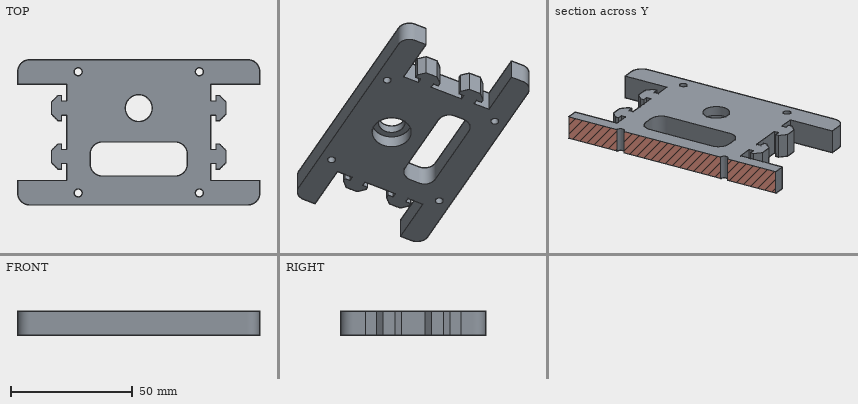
import cadquery as cq

thickness = 10.0
rail_length = 100.0
frame_width = 60.0
rail_corner_radius = 5.0

plate_length = 59.6
plate_width = 39.6
rail_width = (frame_width - plate_width) / 2

screw_diameter = 3.2
screw_spacing_x = 50.0
screw_spacing_y = 50.0

bore_diameter = 11.0
recess_diameter = 16.1
bore_depth = 4.0
recess_depth = thickness - bore_depth
bore_center_y = 10.0

window_length = 40.0
window_width = 14.0
window_corner_radius = 5.0
window_center_y = -11.0

key_center_y = 10.0
neck_length = 2.0
neck_half_width = 2.95
head_length = 4.2
head_half_width = 5.25
head_chamfer = 2.7


def make_rail(side):
    """Rail along X on the +Y (side = 1) or -Y (side = -1) edge, rounded at its outer corners."""
    center_y = side * (frame_width - rail_width) / 2
    rail = cq.Workplane("XY").box(rail_length, rail_width, thickness, centered=(True, True, False))
    outer_face = ">Y" if side > 0 else "<Y"
    return rail.faces(outer_face).edges("|Z").fillet(rail_corner_radius).translate((0, center_y, 0))


def make_plate():
    """Flat plate joining the two rails."""
    return cq.Workplane("XY").box(plate_length, plate_width, thickness, centered=(True, True, False))


def make_key(side, center_y):
    """T-shaped key with a chamfered tip, standing out of the plate end on the given X side."""
    root_x = plate_length / 2
    shoulder_x = root_x + neck_length
    tip_x = shoulder_x + head_length
    upper_half = [
        (root_x, neck_half_width),
        (shoulder_x, neck_half_width),
        (shoulder_x, head_half_width),
        (tip_x - head_chamfer, head_half_width),
        (tip_x, head_half_width - head_chamfer),
    ]
    lower_half = [(x, -y) for x, y in reversed(upper_half)]
    outline = [(side * x, center_y + y) for x, y in upper_half + lower_half]
    return cq.Workplane("XY").polyline(outline).close().extrude(thickness)


def make_screw_holes():
    """Four through holes, two in each rail."""
    return (
        cq.Workplane("XY")
        .rect(screw_spacing_x, screw_spacing_y, forConstruction=True)
        .vertices()
        .circle(screw_diameter / 2)
        .extrude(thickness)
    )


def make_stepped_hole():
    """Through bore with a wider recess opening on the underside."""
    start = cq.Workplane("XY").center(0, bore_center_y)
    bore = start.circle(bore_diameter / 2).extrude(thickness)
    recess = start.circle(recess_diameter / 2).extrude(recess_depth)
    return bore.union(recess)


def make_window():
    """Rectangular through window with rounded corners."""
    block = cq.Workplane("XY").box(window_length, window_width, thickness, centered=(True, True, False))
    return block.edges("|Z").fillet(window_corner_radius).translate((0, window_center_y, 0))


body = make_plate()
for side in (-1, 1):
    body = body.union(make_rail(side))
    for center_y in (-key_center_y, key_center_y):
        body = body.union(make_key(side, center_y))

result = body.cut(make_screw_holes()).cut(make_stepped_hole()).cut(make_window())